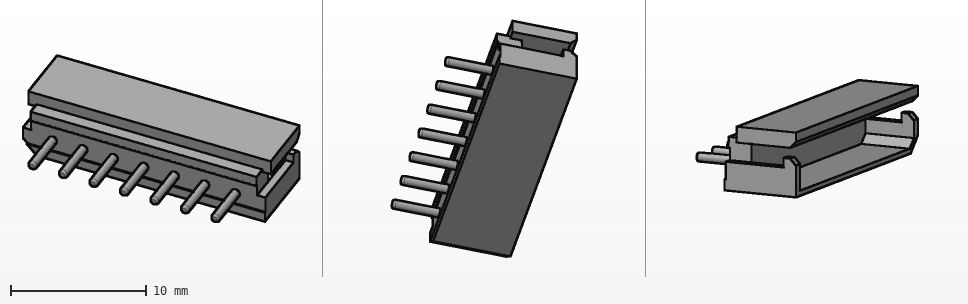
import cadquery as cq


length = 19.9
height = 4.9
total_depth = 9.4

lip_depth = 1.03
plate_depth = 4.92
cavity_depth = 4.02
wall_face_depth = 5.83
rib_depth = 5.93

floor_thickness = 0.4
lower_rib_top = 0.84
side_wall_top = 2.17
lip_top = 2.89
upper_rib_bottom = 3.06
plate_bottom = 3.7
wall_top = 3.92

side_wall = 0.68
lead_in = 0.48
key_chamfer = 1.2
key_wall = 0.4

pin_count = 7
pin_span = 15.0
pin_diameter = 0.7
pin_height = 1.8
pin_tip_radius = 0.18
pin_root = 0.2

pin_pitch = pin_span / (pin_count - 1)
inner_end = length - side_wall


def block(x_start, x_end, depth_start, depth_end, z_start, z_end):
    """Box between two X values, two depths and two heights."""
    size = (x_end - x_start, depth_end - depth_start, z_end - z_start)
    corner = (x_start, -depth_end, z_start)
    return cq.Workplane("XY").box(*size, centered=False).translate(corner)


def lower_left_key(leg, x_corner, z_corner, depth):
    """Triangular prism filling a lower -X corner, from the mating face to the given depth."""
    corner = (x_corner, z_corner)
    along_x = (x_corner + leg, z_corner)
    along_z = (x_corner, z_corner + leg)
    return cq.Workplane("XZ").polyline([corner, along_x, along_z]).close().extrude(depth)


def top_plate():
    plate = block(0, length, 0, plate_depth, plate_bottom, height)
    return plate.edges(">Y and <Z").chamfer(lead_in)


def lip(x_start):
    """Lip standing on a side wall at the mating face."""
    post = block(x_start, x_start + side_wall, 0, lip_depth, floor_thickness, lip_top)
    return post.edges(">Y and >Z").chamfer(lead_in)


def cavity():
    """Space between the side walls, open at the mating face and upward."""
    space = block(side_wall, inner_end, 0, cavity_depth, floor_thickness, side_wall_top)
    diagonal_sum = key_chamfer + key_wall * 2 ** 0.5
    leg = diagonal_sum - side_wall - floor_thickness
    return space.cut(lower_left_key(leg, side_wall, floor_thickness, cavity_depth))


def pin(x):
    """Round pin along -Y with a rounded tip."""
    pin_length = total_depth - wall_face_depth + pin_root
    rod = cq.Workplane("XZ").circle(pin_diameter / 2).extrude(pin_length)
    rod = rod.faces("<Y").edges().fillet(pin_tip_radius)
    return rod.translate((x, pin_root - wall_face_depth, pin_height))


housing = block(0, length, 0, wall_face_depth, 0, side_wall_top).cut(cavity())

pin_wall = block(side_wall, inner_end, cavity_depth, wall_face_depth, floor_thickness, wall_top)
housing = housing.union(pin_wall)
housing = housing.union(top_plate())
for lip_start in (0, inner_end):
    housing = housing.union(lip(lip_start))

upper_rib = block(side_wall, inner_end, cavity_depth, rib_depth, upper_rib_bottom, wall_top)
lower_rib = block(0, length, cavity_depth, rib_depth, 0, lower_rib_top)
housing = housing.union(upper_rib).union(lower_rib)

housing = housing.cut(lower_left_key(key_chamfer, 0, 0, rib_depth))

first_pin = (length - pin_span) / 2
for index in range(pin_count):
    housing = housing.union(pin(first_pin + index * pin_pitch))

result = housing